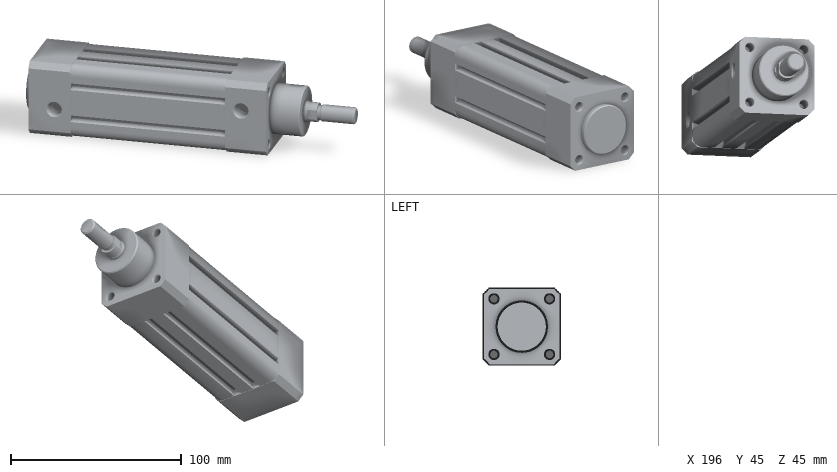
import cadquery as cq

REAR_CAP_START = 3.5
TUBE_START = 29.0
TUBE_END = 122.7
FRONT_CAP_END = 147.5
NECK_END = 165.6
SEAL_TAPER_START = 166.6
SEAL_LIP_END = 167.5
FLATS_START = 168.0
ROD_SHOULDER = 173.5
RELIEF_CONE_START = 175.0
THREAD_START = 176.0
ROD_END = 196.0

CAP_SIZE = 45.0
CAP_CHAMFER = 3.5
BOSS_DIAMETER = 30.0
BOSS_CHAMFER = 0.5
SEAL_LIP_DIAMETER = 12.5
SEAL_LIP_TIP_DIAMETER = 11.8

PORT_DIAMETER = 8.5
PORT_CHAMFER = 0.5
PORT_DEPTH = 9.8
PORT_OFFSET = 5.0
REAR_PORT_X = 19.2
FRONT_PORT_X = 132.3

SCREW_OFFSET = 16.3
SCREW_HOLE_DIAMETER = 5.0
SCREW_CHAMFER = 0.4
SCREW_DEPTH = 11.8

TUBE_SIZE = 44.7
TUBE_CORNER_RADIUS = 6.0
BORE_DIAMETER = 30.0
SENSOR_SLOT_OFFSET = 6.7
SENSOR_SLOT_MOUTH = 4.9
SENSOR_SLOT_WIDTH = 6.0
SENSOR_LIP_DEPTH = 1.4
SENSOR_SLOT_DEPTH = 4.5
SIDE_SLOT_OFFSET = 10.0
SIDE_SLOT_MOUTH = 4.1
SIDE_SLOT_FLOOR = 1.8
SIDE_SLOT_DEPTH = 3.7

ROD_DIAMETER = 11.5
FLATS_WIDTH = 10.0
RELIEF_DIAMETER = 9.0
THREAD_DIAMETER = 10.0
THREAD_CHAMFER = 0.8


def x_cylinder(diameter, start, end):
    """Cylinder on the X axis between two stations."""
    return cq.Workplane("YZ", origin=(start, 0, 0)).circle(diameter / 2).extrude(end - start)


def revolve_about_x(profile):
    """Turned solid; the profile is a list of (X, radius) pairs."""
    return cq.Workplane("XY").polyline(profile).close().revolve(360, (0, 0, 0), (1, 0, 0))


def cap_block(start, end):
    """Square cap with its four long edges chamfered."""
    block = cq.Workplane("YZ", origin=(start, 0, 0)).rect(CAP_SIZE, CAP_SIZE).extrude(end - start)
    return block.edges("|X").chamfer(CAP_CHAMFER)


def chamfered_hole(diameter, depth, chamfer, point, direction):
    """Cutter for a blind hole with a chamfered mouth at a point, drilled along a direction."""
    plane = cq.Plane(origin=point, normal=direction)
    hole = cq.Workplane(plane).circle(diameter / 2).extrude(depth)
    mouth_radius = diameter / 2 + chamfer
    mouth = cq.Solid.makeCone(mouth_radius, diameter / 2, chamfer, cq.Vector(*point), cq.Vector(*direction))
    return hole.union(cq.Workplane(mouth))


def cut_cap_holes(cap, outer_face, inward, port_x, port_z):
    """Cut the air port and the four screw holes into a cap."""
    port_point = (port_x, -CAP_SIZE / 2, port_z)
    cap = cap.cut(chamfered_hole(PORT_DIAMETER, PORT_DEPTH, PORT_CHAMFER, port_point, (0, 1, 0)))
    for y in (-SCREW_OFFSET, SCREW_OFFSET):
        for z in (-SCREW_OFFSET, SCREW_OFFSET):
            point = (outer_face, y, z)
            cap = cap.cut(
                chamfered_hole(SCREW_HOLE_DIAMETER, SCREW_DEPTH, SCREW_CHAMFER, point, (inward, 0, 0))
            )
    return cap


def make_rear_cap():
    boss = x_cylinder(BOSS_DIAMETER, 0, TUBE_START).faces("<X").chamfer(BOSS_CHAMFER)
    cap = cap_block(REAR_CAP_START, TUBE_START).union(boss)
    return cut_cap_holes(cap, REAR_CAP_START, 1, REAR_PORT_X, -PORT_OFFSET)


def make_front_cap():
    """Front cap with its neck, seal lip and rod bore."""
    neck = x_cylinder(BOSS_DIAMETER, TUBE_END, NECK_END).faces(">X").chamfer(BOSS_CHAMFER)
    lip_profile = [
        (NECK_END, 0),
        (NECK_END, SEAL_LIP_DIAMETER / 2),
        (SEAL_TAPER_START, SEAL_LIP_DIAMETER / 2),
        (SEAL_LIP_END, SEAL_LIP_TIP_DIAMETER / 2),
        (SEAL_LIP_END, 0),
    ]
    seal_lip = revolve_about_x(lip_profile)
    cap = cap_block(TUBE_END, FRONT_CAP_END).union(neck).union(seal_lip)
    cap = cut_cap_holes(cap, FRONT_CAP_END, -1, FRONT_PORT_X, PORT_OFFSET)
    return cap.cut(x_cylinder(ROD_DIAMETER, TUBE_END, SEAL_LIP_END))


def tube_slot(points):
    """Slot cutter over the tube length; points are (Y, Z) pairs of its section."""
    section = cq.Workplane("YZ", origin=(TUBE_START, 0, 0)).polyline(points).close()
    return section.extrude(TUBE_END - TUBE_START)


def sensor_slot(side, offset):
    """Undercut slot in the top (side 1) or bottom (side -1) of the tube."""
    surface = TUBE_SIZE / 2
    lip = surface - SENSOR_LIP_DEPTH
    floor = surface - SENSOR_SLOT_DEPTH
    section = [
        (-SENSOR_SLOT_MOUTH / 2, surface),
        (-SENSOR_SLOT_MOUTH / 2, lip),
        (-SENSOR_SLOT_WIDTH / 2, lip),
        (-SENSOR_SLOT_WIDTH / 2, floor),
        (SENSOR_SLOT_WIDTH / 2, floor),
        (SENSOR_SLOT_WIDTH / 2, lip),
        (SENSOR_SLOT_MOUTH / 2, lip),
        (SENSOR_SLOT_MOUTH / 2, surface),
    ]
    return tube_slot([(offset + y, side * z) for y, z in section])


def side_slot(side, offset):
    """Tapered slot in the +Y (side 1) or -Y (side -1) face of the tube."""
    surface = TUBE_SIZE / 2
    floor = surface - SIDE_SLOT_DEPTH
    section = [
        (surface, -SIDE_SLOT_MOUTH / 2),
        (floor, -SIDE_SLOT_FLOOR / 2),
        (floor, SIDE_SLOT_FLOOR / 2),
        (surface, SIDE_SLOT_MOUTH / 2),
    ]
    return tube_slot([(side * y, offset + z) for y, z in section])


def make_tube():
    """Bored profile tube with two slots in each of its four sides."""
    section = cq.Workplane("YZ", origin=(TUBE_START, 0, 0)).rect(TUBE_SIZE, TUBE_SIZE)
    outer = section.extrude(TUBE_END - TUBE_START)
    tube = outer.edges("|X").fillet(TUBE_CORNER_RADIUS)
    tube = tube.cut(x_cylinder(BORE_DIAMETER, TUBE_START, TUBE_END))
    for side in (-1, 1):
        for direction in (-1, 1):
            tube = tube.cut(sensor_slot(side, direction * SENSOR_SLOT_OFFSET))
            tube = tube.cut(side_slot(side, direction * SIDE_SLOT_OFFSET))
    return tube


def make_rod():
    """Piston rod with wrench flats, a thread relief and a chamfered thread end."""
    profile = [
        (TUBE_END, 0),
        (TUBE_END, ROD_DIAMETER / 2),
        (ROD_SHOULDER, ROD_DIAMETER / 2),
        (ROD_SHOULDER, RELIEF_DIAMETER / 2),
        (RELIEF_CONE_START, RELIEF_DIAMETER / 2),
        (THREAD_START, THREAD_DIAMETER / 2),
        (ROD_END - THREAD_CHAMFER, THREAD_DIAMETER / 2),
        (ROD_END, THREAD_DIAMETER / 2 - THREAD_CHAMFER),
        (ROD_END, 0),
    ]
    rod = revolve_about_x(profile)
    flats_length = ROD_SHOULDER - FLATS_START
    outside = cq.Workplane("XY").box(flats_length, 2 * ROD_DIAMETER, ROD_DIAMETER)
    outside = outside.cut(cq.Workplane("XY").box(flats_length, FLATS_WIDTH, ROD_DIAMETER))
    return rod.cut(outside.translate((FLATS_START + flats_length / 2, 0, 0)))


rear_cap = make_rear_cap()
tube = make_tube()
front_cap = make_front_cap()
rod = make_rod()

result = cq.Compound.makeCompound([rear_cap.val(), tube.val(), front_cap.val(), rod.val()])